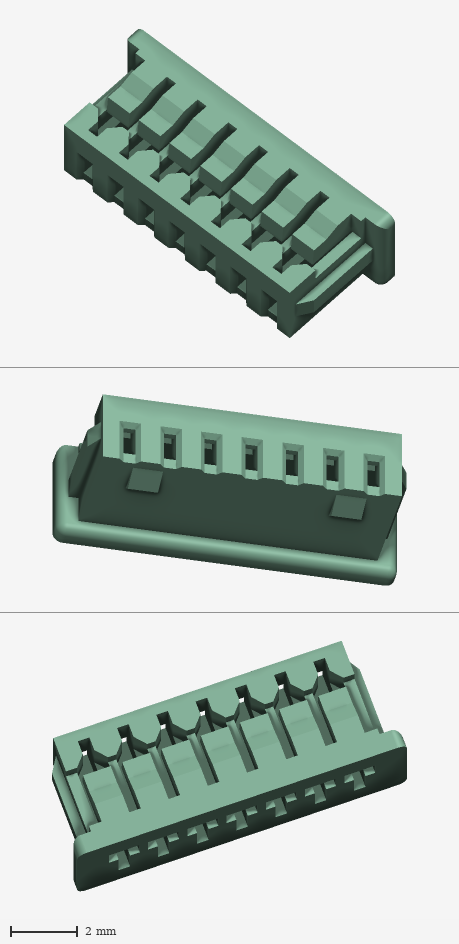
import cadquery as cq

width = 10.5
length = 3.95
height = 3.2

flange_depth = 0.6
flange_radius = 0.3

body_width = 9.19
body_bottom = 0.44
front_top = 2.75

contact_count = 7
pitch = 1.25
contact_xs = [(i - (contact_count - 1) / 2) * pitch for i in range(contact_count)]

pocket_rear = -0.79
pocket_front = -2.81
pocket_floor = 2.33

finger_width = 0.88
finger_slope_start = -1.39
finger_slope_end = -1.89
finger_low_top = 3.0
finger_tip_top = -2.44
finger_tip_bottom = -2.5

cavity_width = 0.99
cavity_floor = 1.7
funnel_end = -3.17
channel_width = 0.37
channel_floor = 0.78
top_slot_front = -3.6

flare = 0.15
opening_width = channel_width + 2 * flare

rail_projection = 0.3
rail_bottom = 1.29
rail_top = 1.9
rail_taper_start = -3.2
rail_taper_end = -3.7

wedge_width = 0.92
wedge_spacing = 5 * pitch
wedge_rear = -2.5
wedge_peak = -2.88
wedge_front = -3.59
wedge_tip = 0.17


def block(x_center, x_size, y_front, y_rear, z_bottom, z_top):
    """Axis-aligned block centred on x_center."""
    size = (x_size, y_rear - y_front, z_top - z_bottom)
    corner = (x_center - x_size / 2, y_front, z_bottom)
    return cq.Workplane("XY").box(*size, centered=False).translate(corner)


def side_profile(points, x_center, x_size):
    """Prism with a (Y, Z) outline, centred on x_center."""
    outline = cq.Workplane("YZ", origin=(x_center, 0, 0)).polyline(points).close()
    return outline.extrude(x_size / 2, both=True)


def make_flange():
    """Plate rounded along its front rim except on top; its top corners are rounded straight through."""
    plate = block(0, width, -flange_depth, 0, 0, height)
    front_rim = plate.faces("<Y").edges("not >Z")
    rounded_rim = plate.edges("|Y and <Z").add(front_rim).fillet(flange_radius)
    rounded_top = plate.edges("|Y and >Z").fillet(flange_radius)
    return rounded_rim.intersect(rounded_top)


def make_body():
    """Housing with the open top pocket and lowered front wall."""
    body = block(0, body_width, -length, 0, body_bottom, height)
    pocket = block(0, body_width, pocket_front, pocket_rear, pocket_floor, height)
    front_clearance = block(0, body_width, -length, pocket_front, front_top, height)
    return body.cut(pocket).cut(front_clearance)


def make_cavity(x):
    """Void for one contact: wide cavity, funnel, blade channel and flared front opening."""
    half_cavity = cavity_width / 2
    half_channel = channel_width / 2
    under_finger = block(x, cavity_width, pocket_front, 0, cavity_floor, pocket_floor)
    funnel = (
        cq.Workplane("XY", origin=(x, 0, cavity_floor))
        .moveTo(-half_cavity, pocket_front)
        .lineTo(-half_channel, funnel_end)
        .lineTo(half_channel, funnel_end)
        .lineTo(half_cavity, pocket_front)
        .close()
        .extrude(front_top - cavity_floor)
    )
    blade_channel = block(x, channel_width, -length, 0, channel_floor, cavity_floor)
    top_slot = block(x, channel_width, top_slot_front, pocket_front, cavity_floor, front_top)
    return under_finger.union(funnel).union(blade_channel).union(top_slot).union(make_opening(x))


def make_opening(x):
    """Front opening tapering inwards at the top and both sides, straight through the bottom."""
    opening_height = cavity_floor + flare - body_bottom
    inner_height = cavity_floor - body_bottom
    return (
        cq.Workplane("XZ", origin=(x, -length, body_bottom))
        .center(0, opening_height / 2)
        .rect(opening_width, opening_height)
        .workplane(offset=-flare)
        .center(0, (inner_height - opening_height) / 2)
        .rect(channel_width, inner_height)
        .loft(ruled=True)
    )


def make_finger(x):
    """Latch finger cantilevered forward from the rear wall."""
    outline = [
        (pocket_rear, pocket_floor),
        (pocket_rear, height),
        (finger_slope_start, height),
        (finger_slope_end, finger_low_top),
        (finger_tip_top, finger_low_top),
        (finger_tip_bottom, pocket_floor),
    ]
    return side_profile(outline, x, finger_width)


def make_rails():
    """Pair of side rails as one bar through the body."""
    half_body = body_width / 2
    half_rails = half_body + rail_projection
    outline = [
        (-half_rails, -flange_depth),
        (-half_rails, rail_taper_start),
        (-half_body, rail_taper_end),
        (half_body, rail_taper_end),
        (half_rails, rail_taper_start),
        (half_rails, -flange_depth),
    ]
    bar = cq.Workplane("XY", origin=(0, 0, rail_bottom)).polyline(outline).close()
    return bar.extrude(rail_top - rail_bottom)


def make_wedge(x):
    """Snap wedge pointing down from the body's underside."""
    outline = [(wedge_rear, body_bottom), (wedge_peak, wedge_tip), (wedge_front, body_bottom)]
    return side_profile(outline, x, wedge_width)


result = make_flange().union(make_body()).union(make_rails())
for side in (-1, 1):
    result = result.union(make_wedge(side * wedge_spacing / 2))
for contact_x in contact_xs:
    result = result.cut(make_cavity(contact_x))
for contact_x in contact_xs:
    result = result.union(make_finger(contact_x))